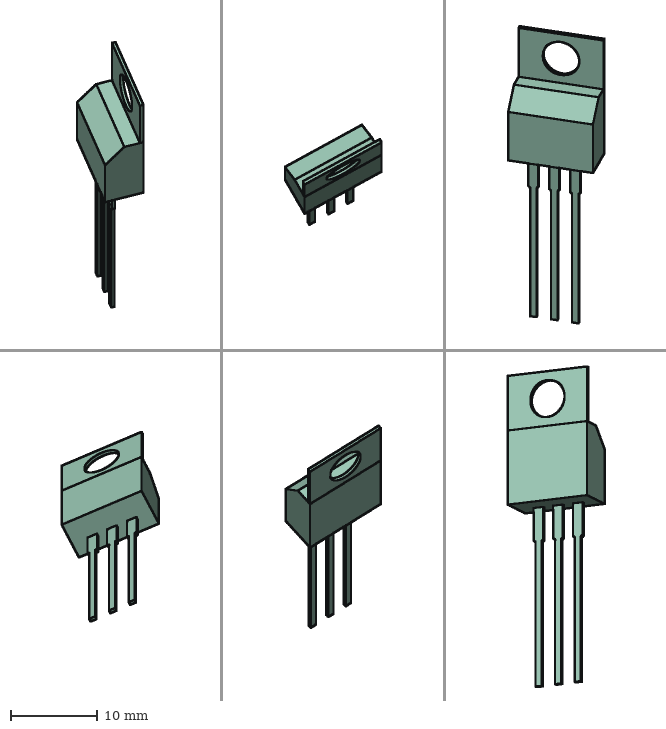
import cadquery as cq

TOTAL_HEIGHT = 36.82
WIDTH = 10.27

HOUSING_DEPTH = 4.7
HOUSING_HEIGHT = 8.87
CHAMFER = 2.35

TAB_HEIGHT = 6.55
TAB_THICKNESS = 0.45
HOLE_DIAMETER = 4.4

LEAD_COUNT = 3
LEAD_PITCH = 2.55
LEAD_LENGTH = TOTAL_HEIGHT - HOUSING_HEIGHT - TAB_HEIGHT
LEAD_THICKNESS = 0.4
LEAD_BACK_OFFSET = 2.8
SHOULDER_WIDTH = 1.2
SHOULDER_LENGTH = 3.9
TIP_WIDTH = 0.77
TAPER_LENGTH = (SHOULDER_WIDTH - TIP_WIDTH) / 2


def make_housing():
    """Block with its upper front edge bevelled."""
    block = cq.Workplane("XY").box(
        WIDTH, HOUSING_DEPTH, HOUSING_HEIGHT, centered=(True, True, False)
    )
    block = block.translate((0, -HOUSING_DEPTH / 2, 0))
    return block.faces(">Z").edges("<Y").chamfer(CHAMFER)


def make_tab():
    """Flat plate on top of the housing, flush with its back, with a mounting hole."""
    plate = cq.Workplane("XY").box(
        WIDTH, TAB_THICKNESS, TAB_HEIGHT, centered=(True, True, False)
    )
    plate = plate.faces("<Y").workplane(centerOption="CenterOfBoundBox").hole(HOLE_DIAMETER)
    return plate.translate((0, -TAB_THICKNESS / 2, HOUSING_HEIGHT))


def make_lead(x_center):
    """Flat lead hanging from the housing, tapering from a wide shoulder to a narrow tip."""
    shoulder = SHOULDER_WIDTH / 2
    tip = TIP_WIDTH / 2
    taper_end = SHOULDER_LENGTH + TAPER_LENGTH
    outline = [
        (-shoulder, 0),
        (-shoulder, -SHOULDER_LENGTH),
        (-tip, -taper_end),
        (-tip, -LEAD_LENGTH),
        (tip, -LEAD_LENGTH),
        (tip, -taper_end),
        (shoulder, -SHOULDER_LENGTH),
        (shoulder, 0),
    ]
    lead = cq.Workplane("XZ").polyline(outline).close().extrude(LEAD_THICKNESS)
    return lead.translate((x_center, -LEAD_BACK_OFFSET, 0))


housing = make_housing()
tab = make_tab()

leads = []
for index in range(LEAD_COUNT):
    x_center = (index - (LEAD_COUNT - 1) / 2) * LEAD_PITCH
    leads.append(make_lead(x_center))

result = cq.Compound.makeCompound(
    [housing.val(), tab.val(), *[lead.val() for lead in leads]]
)